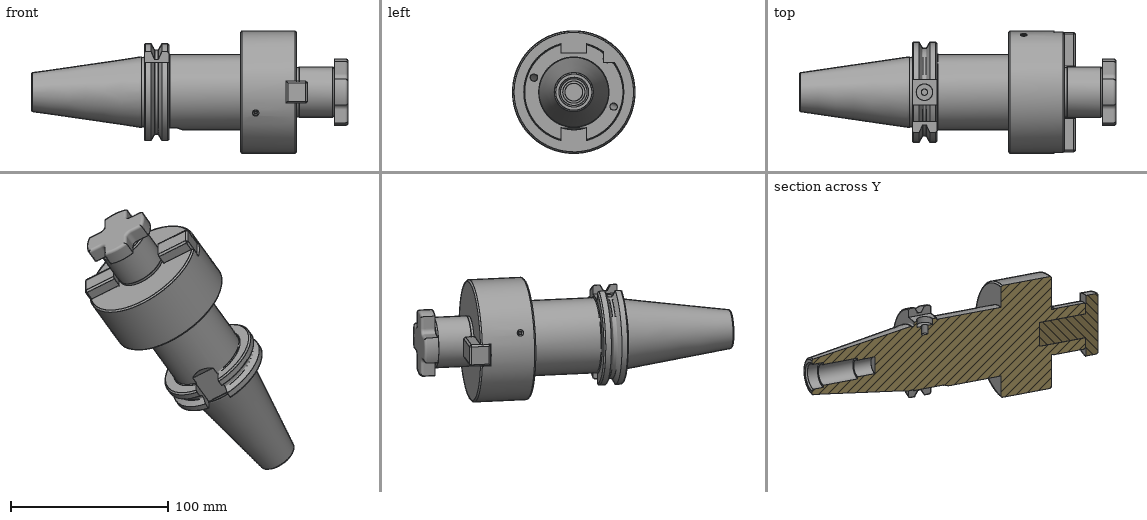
import cadquery as cq
import math


PAIR_ANGLES = (0, 180)
CUTTER_OVERRUN = 2.0

GAUGE_LINE = 68.9
FLANGE_START = 72.0
FLANGE_LENGTH = 15.7
FLANGE_END = FLANGE_START + FLANGE_LENGTH
RING_START = 133.0
RING_END = 168.5
PILOT_LENGTH = 24.0
PILOT_END = RING_END + PILOT_LENGTH
OVERALL_LENGTH = 201.5

TAPER_SLOPE = 7 / 24 / 2
TAPER_RADIUS = 22.4
TAPER_TIP_RADIUS = TAPER_RADIUS - TAPER_SLOPE * GAUGE_LINE
FLANGE_RADIUS = 31.8
SHANK_RADIUS = 24.0
RING_DIAMETER = 78.0
RING_RADIUS = RING_DIAMETER / 2
PILOT_RADIUS = 16.1

TIP_CHAMFER = 0.8
FLANGE_FRONT_CHAMFER = 0.6
FLANGE_BACK_CHAMFER = 1.0
RING_CHAMFER = 1.0
PILOT_CHAMFER = 1.0
FLANGE_ROOT_FILLET = 0.6
SHANK_ROOT_FILLET = 0.6
RELIEF_WIDTH = 1.8
RELIEF_DEPTH = 0.3

GROOVE_CENTER = 79.5
GROOVE_BOTTOM_RADIUS = 28.0
GROOVE_BOTTOM_WIDTH = 2.5
GROOVE_BOTTOM_FILLET = 0.6
GROOVE_HALF_ANGLE = 30

BORE_MOUTH_CHAMFER = 1.0
COUNTERBORE_RADIUS = 8.5
COUNTERBORE_DEPTH = 8.0
THREAD_RADIUS = 7.0
THREAD_DEPTH = 32.2
CORE_RADIUS = 5.6
CORE_DEPTH = 44.3

SLOT_WIDTH = 16.1
TOP_SLOT_HEIGHT = 25.0
BOTTOM_SLOT_HEIGHT = 22.8
BOTTOM_SLOT_FLAT_END = 92.6
BOTTOM_SLOT_RUNOUT = 3.5
NOTCH_OFFSET = 18.7

SLOT_HOLE_RADIUS = 5.2
SLOT_HOLE_DEPTH = 4.0
SLOT_PILOT_RADIUS = 2.0
SLOT_PILOT_DEPTH = 6.0

COOLANT_ANGLE = 20
COOLANT_RADIUS = 2.2
COOLANT_PITCH_RADIUS = 27.0
COOLANT_TILT = 20
COOLANT_DEPTH = 16.1
PLUG_STATION = 142.5
PLUG_RADIUS = 2.0
PLUG_LENGTH = 8.0
PLUG_RECESS = 0.6
PLUG_SOCKET_WIDTH = 2.2
PLUG_SOCKET_DEPTH = 2.5
PLUG_TOP = RING_RADIUS - PLUG_RECESS

KEY_START = 162.0
KEY_END = 175.6
KEY_WIDTH = 14.0
KEY_INNER = 16.5
KEY_OUTER = 38.0
KEY_CHAMFER = 1.2

HEAD_RADIUS = 21.1
HEAD_ARM_WIDTH = 16.5
HEAD_CORNER_FILLET = 3.0
HEAD_EDGE_FILLET = 1.8
SCREW_RADIUS = 8.0
SCREW_LENGTH = 32.2
SCREW_START = PILOT_END - SCREW_LENGTH


def box_between(x_range, y_range, z_range):
    """Axis-parallel box spanning the given ranges."""
    corner = (x_range[0], y_range[0], z_range[0])
    size = (x_range[1] - x_range[0], y_range[1] - y_range[0], z_range[1] - z_range[0])
    return cq.Workplane("XY").box(*size, centered=False).translate(corner)


def rod(start, direction, radius, length):
    """Cylinder from a start point along a direction."""
    return cq.Workplane(cq.Solid.makeCylinder(radius, length, cq.Vector(*start), cq.Vector(*direction)))


def turned(body, angle):
    """The body rotated about the X axis by an angle in degrees."""
    return body.rotate((0, 0, 0), (1, 0, 0), angle)


def turned_body():
    arc_middle = 1 - math.sqrt(0.5)
    fillet = FLANGE_ROOT_FILLET
    relief_radius = TAPER_RADIUS - RELIEF_DEPTH
    relief_start = FLANGE_START - RELIEF_WIDTH
    return (
        cq.Workplane("XY")
        .moveTo(0, 0)
        .lineTo(0, TAPER_TIP_RADIUS - TIP_CHAMFER)
        .lineTo(TIP_CHAMFER, TAPER_TIP_RADIUS + TAPER_SLOPE * TIP_CHAMFER)
        .lineTo(GAUGE_LINE, TAPER_RADIUS)
        .lineTo(relief_start, TAPER_RADIUS)
        .lineTo(relief_start, relief_radius)
        .lineTo(FLANGE_START - fillet, relief_radius)
        .threePointArc(
            (FLANGE_START - fillet * arc_middle, relief_radius + fillet * arc_middle),
            (FLANGE_START, relief_radius + fillet),
        )
        .lineTo(FLANGE_START, FLANGE_RADIUS - FLANGE_FRONT_CHAMFER)
        .lineTo(FLANGE_START + FLANGE_FRONT_CHAMFER, FLANGE_RADIUS)
        .lineTo(FLANGE_END - FLANGE_BACK_CHAMFER, FLANGE_RADIUS)
        .lineTo(FLANGE_END, FLANGE_RADIUS - FLANGE_BACK_CHAMFER)
        .lineTo(FLANGE_END, SHANK_RADIUS + SHANK_ROOT_FILLET)
        .threePointArc(
            (FLANGE_END + SHANK_ROOT_FILLET * arc_middle, SHANK_RADIUS + SHANK_ROOT_FILLET * arc_middle),
            (FLANGE_END + SHANK_ROOT_FILLET, SHANK_RADIUS),
        )
        .lineTo(RING_START, SHANK_RADIUS)
        .lineTo(RING_START, RING_RADIUS - RING_CHAMFER)
        .lineTo(RING_START + RING_CHAMFER, RING_RADIUS)
        .lineTo(RING_END - RING_CHAMFER, RING_RADIUS)
        .lineTo(RING_END, RING_RADIUS - RING_CHAMFER)
        .lineTo(RING_END, PILOT_RADIUS - RELIEF_DEPTH)
        .lineTo(RING_END + RELIEF_WIDTH - RELIEF_DEPTH, PILOT_RADIUS - RELIEF_DEPTH)
        .lineTo(RING_END + RELIEF_WIDTH, PILOT_RADIUS)
        .lineTo(PILOT_END - PILOT_CHAMFER, PILOT_RADIUS)
        .lineTo(PILOT_END, PILOT_RADIUS - PILOT_CHAMFER)
        .lineTo(PILOT_END, 0)
        .close()
        .revolve(360, (0, 0, 0), (1, 0, 0))
    )


def gripper_groove():
    """V groove whose two bottom corners are rounded."""
    rim_radius = FLANGE_RADIUS + CUTTER_OVERRUN
    half_angle = math.radians(GROOVE_HALF_ANGLE)
    bottom_half = GROOVE_BOTTOM_WIDTH / 2
    rim_half = bottom_half + (rim_radius - GROOVE_BOTTOM_RADIUS) * math.tan(half_angle)
    setback = GROOVE_BOTTOM_FILLET * math.tan((math.pi / 2 - half_angle) / 2)
    flat_half = bottom_half - setback
    flank_half = bottom_half + setback * math.sin(half_angle)
    flank_radius = GROOVE_BOTTOM_RADIUS + setback * math.cos(half_angle)
    return (
        cq.Workplane("XY")
        .moveTo(GROOVE_CENTER - rim_half, rim_radius)
        .lineTo(GROOVE_CENTER - flank_half, flank_radius)
        .tangentArcPoint((GROOVE_CENTER - flat_half, GROOVE_BOTTOM_RADIUS), relative=False)
        .lineTo(GROOVE_CENTER + flat_half, GROOVE_BOTTOM_RADIUS)
        .tangentArcPoint((GROOVE_CENTER + flank_half, flank_radius), relative=False)
        .lineTo(GROOVE_CENTER + rim_half, rim_radius)
        .close()
        .revolve(360, (0, 0, 0), (1, 0, 0))
    )


def drawbar_bore():
    return (
        cq.Workplane("XY")
        .moveTo(0, 0)
        .lineTo(0, COUNTERBORE_RADIUS + BORE_MOUTH_CHAMFER)
        .lineTo(BORE_MOUTH_CHAMFER, COUNTERBORE_RADIUS)
        .lineTo(COUNTERBORE_DEPTH, COUNTERBORE_RADIUS)
        .lineTo(COUNTERBORE_DEPTH, THREAD_RADIUS)
        .lineTo(THREAD_DEPTH, THREAD_RADIUS)
        .lineTo(THREAD_DEPTH, CORE_RADIUS)
        .lineTo(CORE_DEPTH, CORE_RADIUS)
        .lineTo(CORE_DEPTH, 0)
        .close()
        .revolve(360, (0, 0, 0), (1, 0, 0))
    )


def top_slot():
    half = SLOT_WIDTH / 2
    return box_between((FLANGE_START, FLANGE_END), (-half, half), (TOP_SLOT_HEIGHT, FLANGE_RADIUS))


def bottom_slot():
    """Slot that runs past the flange and ramps out of the shank."""
    return (
        cq.Workplane("XZ")
        .moveTo(GAUGE_LINE, -FLANGE_RADIUS)
        .lineTo(GAUGE_LINE, -BOTTOM_SLOT_HEIGHT)
        .lineTo(BOTTOM_SLOT_FLAT_END, -BOTTOM_SLOT_HEIGHT)
        .lineTo(BOTTOM_SLOT_FLAT_END + BOTTOM_SLOT_RUNOUT, -SHANK_RADIUS)
        .lineTo(BOTTOM_SLOT_FLAT_END + BOTTOM_SLOT_RUNOUT, -FLANGE_RADIUS)
        .close()
        .extrude(SLOT_WIDTH / 2, both=True)
    )


def corner_notch():
    span = (NOTCH_OFFSET, FLANGE_RADIUS)
    return box_between((FLANGE_START, FLANGE_END), (-span[1], -span[0]), span)


def slot_hole():
    mouth = (GROOVE_CENTER, 0, TOP_SLOT_HEIGHT)
    counterbore = rod(mouth, (0, 0, -1), SLOT_HOLE_RADIUS, SLOT_HOLE_DEPTH)
    pilot = rod(mouth, (0, 0, -1), SLOT_PILOT_RADIUS, SLOT_HOLE_DEPTH + SLOT_PILOT_DEPTH)
    return counterbore.union(pilot)


def coolant_hole():
    """Hole in the flange face, tilted toward the axis; it starts ahead of the face to cut it fully."""
    lead = COOLANT_RADIUS
    tilt = math.radians(COOLANT_TILT)
    start = (FLANGE_START - lead * math.cos(tilt), COOLANT_PITCH_RADIUS + lead * math.sin(tilt), 0)
    direction = (math.cos(tilt), -math.sin(tilt), 0)
    hole = rod(start, direction, COOLANT_RADIUS, COOLANT_DEPTH + lead)
    return turned(hole, COOLANT_ANGLE)


def plug_hole():
    bottom = (PLUG_STATION, PLUG_TOP - PLUG_LENGTH, 0)
    hole = rod(bottom, (0, 1, 0), PLUG_RADIUS, PLUG_LENGTH + CUTTER_OVERRUN)
    return turned(hole, COOLANT_ANGLE)


def key_seat():
    half = KEY_WIDTH / 2
    return box_between((KEY_START, RING_END), (KEY_INNER, RING_RADIUS), (-half, half))


def make_holder():
    body = turned_body().cut(gripper_groove()).cut(drawbar_bore())
    for cutter in (top_slot(), bottom_slot(), corner_notch(), slot_hole()):
        body = body.cut(cutter)
    for cutter in (coolant_hole(), plug_hole(), key_seat()):
        for angle in PAIR_ANGLES:
            body = body.cut(turned(cutter, angle))
    return body.cut(rod((SCREW_START, 0, 0), (1, 0, 0), SCREW_RADIUS, SCREW_LENGTH))


def make_key():
    """Drive key on the +Y side, chamfered around its outer face and its free end."""
    half = KEY_WIDTH / 2
    key = box_between((KEY_START, KEY_END), (KEY_INNER, KEY_OUTER), (-half, half))
    outer_face_edges = key.faces(">Y").edges()
    free_end_edges = key.faces(">X").edges("|Y")
    return key.newObject(outer_face_edges.add(free_end_edges).vals()).chamfer(KEY_CHAMFER)


def make_plug():
    """Coolant plug with a hexagon socket, facing outward from the ring."""
    bottom = (PLUG_STATION, PLUG_TOP - PLUG_LENGTH, 0)
    plug = rod(bottom, (0, 1, 0), PLUG_RADIUS, PLUG_LENGTH)
    socket = (
        cq.Workplane("XZ", origin=(PLUG_STATION, PLUG_TOP, 0))
        .polygon(6, PLUG_SOCKET_WIDTH)
        .extrude(PLUG_SOCKET_DEPTH)
    )
    return turned(plug.cut(socket), COOLANT_ANGLE)


def make_clamping_screw():
    """Screw whose disc head is cut down to a cross of four arms."""
    head_length = OVERALL_LENGTH - PILOT_END
    face = cq.Workplane("YZ", origin=(PILOT_END, 0, 0))
    disc = face.circle(HEAD_RADIUS).extrude(head_length)
    arm = face.rect(HEAD_ARM_WIDTH, 2 * HEAD_RADIUS).extrude(head_length)
    cross = arm.union(turned(arm, 90))
    inner = HEAD_ARM_WIDTH / 2 + HEAD_CORNER_FILLET
    corners = cq.selectors.BoxSelector((PILOT_END, -inner, -inner), (OVERALL_LENGTH, inner, inner))
    cross = cross.edges("|X").edges(corners).fillet(HEAD_CORNER_FILLET)
    head = disc.intersect(cross).faces(">X").edges().fillet(HEAD_EDGE_FILLET)
    return head.union(rod((SCREW_START, 0, 0), (1, 0, 0), SCREW_RADIUS, SCREW_LENGTH))


holder = make_holder()
clamping_screw = make_clamping_screw()
keys = []
plugs = []
for pair_angle in PAIR_ANGLES:
    keys.append(turned(make_key(), pair_angle).val())
    plugs.append(turned(make_plug(), pair_angle).val())

result = cq.Compound.makeCompound([holder.val(), clamping_screw.val(), *keys, *plugs])